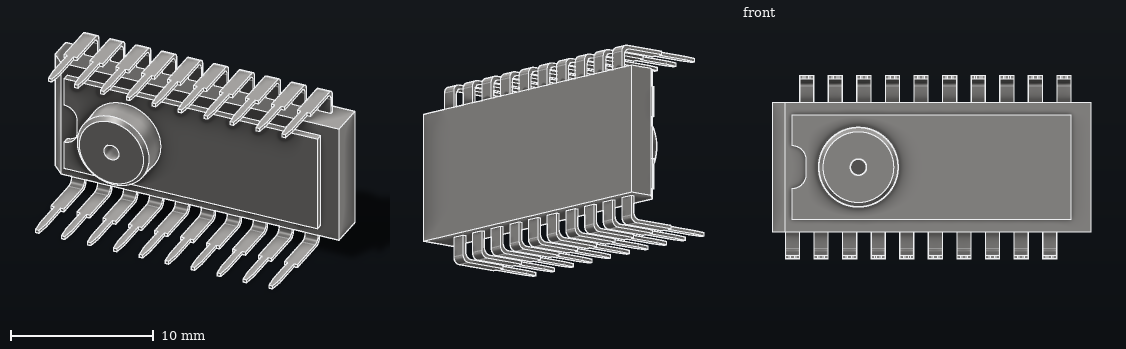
import cadquery as cq

body_length = 22.3
body_height = 9.08
body_depth = 2.68
end_chamfer = 0.9

plate_left_margin = 1.35
plate_right_margin = 1.4
plate_height = 7.31
plate_thickness = 0.54
notch_radius = 1.0
notch_flat = 1.0

port_from_end = 6.02
port_base_diameter = 5.6
port_rim_diameter = 5.53
port_height = 2.19
port_chamfer = 0.3
port_hole_diameter = 1.15
port_hole_floor_diameter = 1.1

leads_per_row = 10
lead_row_length = 18.0
lead_pitch = lead_row_length / (leads_per_row - 1)
bottom_row_from_end = 1.4
top_row_from_end = bottom_row_from_end + lead_pitch / 2
lead_thickness = 0.25
lead_bend_radius = 0.5
lead_back_offset = 0.74
lead_span = 12.85
lead_embed = 0.45
lead_width = 1.0
pin_width = 0.5
pin_tip_width = 0.27
shoulder_depth = 4.42
taper_depth = 6.8
tip_depth = 7.78

left_end = -body_length / 2
plate_front = body_depth + plate_thickness


def front_plane(depth):
    """Workplane facing -Y at the given depth in front of the back face."""
    return cq.Workplane("XZ", origin=(0, -depth, 0))


def make_body():
    block = cq.Workplane("XY").box(body_length, body_depth, body_height)
    block = block.translate((0, -body_depth / 2, 0))
    return block.edges("<X and <Y").chamfer(end_chamfer)


def make_plate():
    plate_left = left_end + plate_left_margin
    plate_length = body_length - plate_left_margin - plate_right_margin
    plate = (
        front_plane(body_depth)
        .center(plate_left + plate_length / 2, 0)
        .rect(plate_length, plate_height)
        .extrude(plate_thickness)
    )
    notch = (
        front_plane(body_depth)
        .center(plate_left, 0)
        .slot2D(notch_flat + 2 * notch_radius, 2 * notch_radius, 90)
        .extrude(plate_thickness)
    )
    return plate.cut(notch)


def make_port():
    """Chamfered round boss bored through to the plate, turned about a Y axis."""
    base_y = -plate_front
    front_y = base_y - port_height
    half_profile = [
        (port_base_diameter / 2, base_y),
        (port_rim_diameter / 2, front_y + port_chamfer),
        (port_rim_diameter / 2 - port_chamfer, front_y),
        (port_hole_diameter / 2, front_y),
        (port_hole_floor_diameter / 2, base_y),
    ]
    port = cq.Workplane("XY").polyline(half_profile).close()
    port = port.revolve(360, (0, 0, 0), (0, 1, 0))
    return port.translate((left_end + port_from_end, 0, 0))


def make_top_lead():
    """Lead centred on X = 0: up out of the body, then bent toward -Y."""
    outer_z = lead_span / 2
    inner_z = outer_z - lead_thickness
    root_z = body_height / 2 - lead_embed
    back_y = -lead_back_offset
    front_y = back_y - lead_thickness
    strip = (
        cq.Workplane("YZ")
        .moveTo(back_y, root_z)
        .lineTo(back_y, outer_z)
        .lineTo(-tip_depth, outer_z)
        .lineTo(-tip_depth, inner_z)
        .lineTo(front_y, inner_z)
        .lineTo(front_y, root_z)
        .close()
        .extrude(lead_width / 2, both=True)
    )
    bend_corners = cq.selectors.BoxSelector(
        (-lead_width, front_y - lead_thickness, inner_z - lead_thickness),
        (lead_width, back_y + lead_thickness, outer_z + lead_thickness),
    )
    strip = strip.edges("|X").edges(bend_corners).fillet(lead_bend_radius)
    half_outline = [
        (lead_width / 2, 0),
        (lead_width / 2, -shoulder_depth),
        (pin_width / 2, -shoulder_depth),
        (pin_width / 2, -taper_depth),
        (pin_tip_width / 2, -tip_depth),
    ]
    mirrored = [(-x, y) for x, y in reversed(half_outline)]
    outline = cq.Workplane("XY").polyline(half_outline + mirrored).close().extrude(lead_span)
    return strip.intersect(outline)


def lead_row(lead, first_from_end):
    row = cq.Workplane("XY")
    for index in range(leads_per_row):
        x = left_end + first_from_end + index * lead_pitch
        row = row.add(lead.translate((x, 0, 0)))
    return row


top_lead = make_top_lead()
bottom_lead = top_lead.mirror("XY")

result = make_body().union(make_plate()).union(make_port())
result = result.union(lead_row(top_lead, top_row_from_end))
result = result.union(lead_row(bottom_lead, bottom_row_from_end))